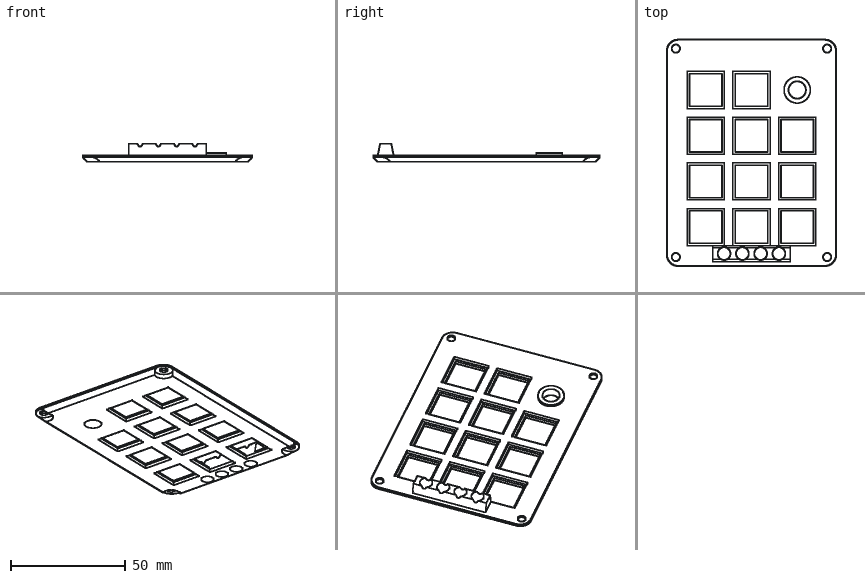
import cadquery as cq

PLATE_LENGTH_X = 74.2
PLATE_LENGTH_Y = 99.2
PLATE_THICKNESS = 3.0
CORNER_RADIUS = 5.0
BEVEL_INSET = 2.0
BEVEL_HEIGHT = 2.0
TOP_EDGE_CHAMFER = 0.2

SCREW_HOLE_DIAMETER = 3.5
SCREW_EDGE_DISTANCE = 4.0
SCREW_HEAD_DIAMETER = 8.0
SCREW_HEAD_DEPTH = 2.0

KEY_PITCH = 20.0
KEY_COLUMNS = 3
KEY_ROWS = 4
FIRST_ROW_Y = -32.5
KEY_OPENING = 14.1
KEY_RECESS = 16.2
KEY_RECESS_DEPTH = 1.5

COLLAR_OUTER_DIAMETER = 11.5
COLLAR_BORE_DIAMETER = 7.5
COLLAR_HEIGHT = 1.0

BAR_LENGTH = 34.0
BAR_BASE_WIDTH = 7.0
BAR_TOP_WIDTH = 5.0
BAR_HEIGHT = 5.0
BAR_HOLE_DIAMETER = 5.5
BAR_HOLE_PITCH = 8.0
BAR_HOLE_COUNT = 4

BAR_CENTER_Y = FIRST_ROW_Y - KEY_RECESS / 2 - BAR_BASE_WIDTH / 2


def centered_positions(count, pitch):
    """Evenly spaced positions centred on zero."""
    return [(i - (count - 1) / 2) * pitch for i in range(count)]


COLUMN_XS = centered_positions(KEY_COLUMNS, KEY_PITCH)
ROW_YS = [FIRST_ROW_Y + row * KEY_PITCH for row in range(KEY_ROWS)]
COLLAR_CENTER = (COLUMN_XS[-1], ROW_YS[-1])
KEY_CENTERS = [(x, y) for x in COLUMN_XS for y in ROW_YS if (x, y) != COLLAR_CENTER]
SCREW_X = PLATE_LENGTH_X / 2 - SCREW_EDGE_DISTANCE
SCREW_Y = PLATE_LENGTH_Y / 2 - SCREW_EDGE_DISTANCE
SCREW_CENTERS = [(x, y) for x in (-SCREW_X, SCREW_X) for y in (-SCREW_Y, SCREW_Y)]
BAR_HOLE_CENTERS = [(x, BAR_CENTER_Y) for x in centered_positions(BAR_HOLE_COUNT, BAR_HOLE_PITCH)]


def make_plate():
    """Plate with rounded corners, a bevelled lower edge and a lightly chamfered top edge."""
    return (
        cq.Workplane("XY")
        .rect(PLATE_LENGTH_X, PLATE_LENGTH_Y)
        .extrude(PLATE_THICKNESS)
        .edges("|Z")
        .fillet(CORNER_RADIUS)
        .faces("<Z")
        .chamfer(BEVEL_HEIGHT, BEVEL_INSET)
        .faces(">Z")
        .chamfer(TOP_EDGE_CHAMFER)
    )


def make_collar():
    """Low round boss on top of the plate."""
    return (
        cq.Workplane("XY")
        .workplane(offset=PLATE_THICKNESS)
        .pushPoints([COLLAR_CENTER])
        .circle(COLLAR_OUTER_DIAMETER / 2)
        .extrude(COLLAR_HEIGHT)
    )


def make_bar():
    """Bar along X with sloping front and rear walls."""
    top_z = PLATE_THICKNESS + BAR_HEIGHT
    return (
        cq.Workplane("YZ", origin=(-BAR_LENGTH / 2, 0, 0))
        .moveTo(BAR_CENTER_Y - BAR_BASE_WIDTH / 2, PLATE_THICKNESS)
        .lineTo(BAR_CENTER_Y + BAR_BASE_WIDTH / 2, PLATE_THICKNESS)
        .lineTo(BAR_CENTER_Y + BAR_TOP_WIDTH / 2, top_z)
        .lineTo(BAR_CENTER_Y - BAR_TOP_WIDTH / 2, top_z)
        .close()
        .extrude(BAR_LENGTH)
    )


def cut_round_holes(body, centers, diameter, depth=PLATE_THICKNESS + BAR_HEIGHT):
    """Cut vertical holes upward from the bottom face, by default through the whole part."""
    holes = cq.Workplane("XY").pushPoints(centers).circle(diameter / 2).extrude(depth)
    return body.cut(holes)


def cut_key_openings(body):
    """Cut square through openings, each with a wider recess from the top."""
    openings = (
        cq.Workplane("XY")
        .pushPoints(KEY_CENTERS)
        .rect(KEY_OPENING, KEY_OPENING)
        .extrude(PLATE_THICKNESS)
    )
    recesses = (
        cq.Workplane("XY")
        .workplane(offset=PLATE_THICKNESS - KEY_RECESS_DEPTH)
        .pushPoints(KEY_CENTERS)
        .rect(KEY_RECESS, KEY_RECESS)
        .extrude(KEY_RECESS_DEPTH)
    )
    return body.cut(openings).cut(recesses)


result = cut_key_openings(make_plate()).union(make_collar()).union(make_bar())
result = cut_round_holes(result, SCREW_CENTERS, SCREW_HOLE_DIAMETER)
result = cut_round_holes(result, SCREW_CENTERS, SCREW_HEAD_DIAMETER, SCREW_HEAD_DEPTH)
result = cut_round_holes(result, [COLLAR_CENTER], COLLAR_BORE_DIAMETER)
result = cut_round_holes(result, BAR_HOLE_CENTERS, BAR_HOLE_DIAMETER)